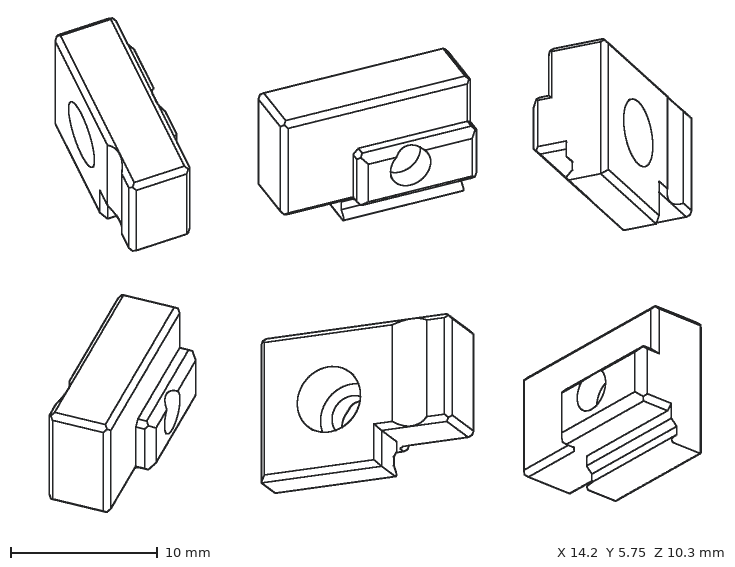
import cadquery as cq
import math

LENGTH = 14.2
HEIGHT = 10.34
DEPTH = 5.75
EDGE_CHAMFER = 0.4

BODY_DEPTH = 4.5
TAIL_LENGTH = 8.95
TAIL_HEIGHT = 2.58
TAIL_DEPTH = 3.0

BLOCK_TOP = 6.87
BLOCK_BACK_CHAMFER = 0.6

GROOVE_DEPTH = 0.47
GROOVE_FLOOR_BOTTOM = 0.72
GROOVE_FLOOR_TOP = 1.36
LIP_RADIUS = 0.2

HOLE_X = 5.2
HOLE_Z = 5.2
HOLE_DIAMETER = 3.0
COUNTERBORE_DIAMETER = 4.7
COUNTERBORE_DEPTH = 4.0

CHANNEL_X = 11.2
CHANNEL_RADIUS = 2.35
CHANNEL_DEPTH = 0.38


def box(x_range, y_range, z_range):
    """Axis-aligned box from its limits along X, Y and Z."""
    size = [high - low for low, high in (x_range, y_range, z_range)]
    corner = (x_range[0], y_range[0], z_range[0])
    return cq.Workplane("XY").box(*size, centered=False).translate(corner)


def bevel(solid, rim_faces, rim_chamfer, side_edges):
    """Chamfer the rims and the edges along Y separately, so that the bevels meet in clean miters."""
    beveled_rims = solid.faces(rim_faces).chamfer(rim_chamfer)
    beveled_sides = solid.edges(side_edges).chamfer(EDGE_CHAMFER)
    return beveled_rims.intersect(beveled_sides)


def make_body():
    """L-shaped plate, beveled on its front and back rims and on the three corners of its upper part."""
    outline = [
        (0, 0),
        (TAIL_LENGTH, 0),
        (TAIL_LENGTH, TAIL_HEIGHT),
        (LENGTH, TAIL_HEIGHT),
        (LENGTH, HEIGHT),
        (0, HEIGHT),
    ]
    plate = cq.Workplane("XZ").polyline(outline).close().extrude(-BODY_DEPTH)
    return bevel(plate, "<Y or >Y", EDGE_CHAMFER, "|Y and (>Z or >X)")


def make_tail_relief():
    """Space behind the tail, raised at the left end to free the block's lower bevel."""
    behind_tail = (TAIL_DEPTH, BODY_DEPTH)
    below_block = box((0, TAIL_LENGTH), behind_tail, (0, TAIL_HEIGHT))
    left_end = box((0, EDGE_CHAMFER), behind_tail, (0, TAIL_HEIGHT + EDGE_CHAMFER))
    return below_block.union(left_end)


def make_block():
    """Raised block with beveled side edges and a wider bevel around its back face."""
    block = box((0, TAIL_LENGTH), (TAIL_DEPTH, DEPTH), (TAIL_HEIGHT, BLOCK_TOP))
    return bevel(block, ">Y", BLOCK_BACK_CHAMFER, "|Y")


def make_tail_groove():
    """Groove with 45 degree flanks along the back of the tail, and the space around its rounded lip."""
    floor_y = TAIL_DEPTH - GROOVE_DEPTH
    flank_reach = floor_y + GROOVE_FLOOR_BOTTOM
    lip_y = flank_reach - LIP_RADIUS * (1 + math.sqrt(2))
    flank_offset = LIP_RADIUS / math.sqrt(2)
    profile = (
        cq.Workplane("YZ")
        .moveTo(TAIL_DEPTH, GROOVE_FLOOR_TOP + GROOVE_DEPTH)
        .lineTo(floor_y, GROOVE_FLOOR_TOP)
        .lineTo(floor_y, GROOVE_FLOOR_BOTTOM)
        .lineTo(lip_y + flank_offset, LIP_RADIUS + flank_offset)
        .threePointArc((lip_y + LIP_RADIUS, LIP_RADIUS), (lip_y, 0))
        .lineTo(TAIL_DEPTH, 0)
        .close()
    )
    return profile.extrude(TAIL_LENGTH)


def make_hole():
    """Through hole with a deep counterbore from the front."""
    start = cq.Workplane("XZ").center(HOLE_X, HOLE_Z)
    bore = start.circle(HOLE_DIAMETER / 2).extrude(-DEPTH)
    return bore.union(start.circle(COUNTERBORE_DIAMETER / 2).extrude(-COUNTERBORE_DEPTH))


def make_channel():
    """Upright cylinder that dips into the front face."""
    axis_y = CHANNEL_DEPTH - CHANNEL_RADIUS
    return cq.Workplane("XY").center(CHANNEL_X, axis_y).circle(CHANNEL_RADIUS).extrude(HEIGHT)


result = (
    make_body()
    .cut(make_tail_relief())
    .union(make_block())
    .cut(make_tail_groove())
    .cut(make_hole())
    .cut(make_channel())
)